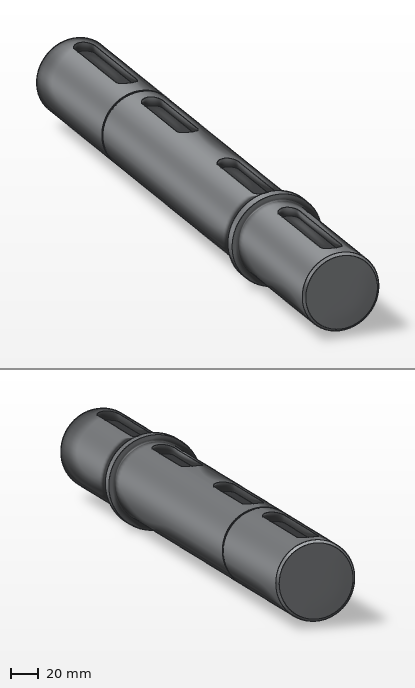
import cadquery as cq

length = 496.0
shaft_radius = 30.0
end_chamfer = 2.0

shoulder_distance = 123.5

collar_radius = 35.45
collar_width = 8.0
collar_fillet = 1.0

groove_width = 1.5
groove_depth = 1.0

key_width = 16.5
key_depth = 7.0
long_key_length = 92.5
short_key_length = 80.0
long_key_margin = 12.5
short_key_margin = 138.0

left_end = -length / 2
collar_start = length - shoulder_distance - collar_width / 2
groove_start = shoulder_distance - groove_width / 2
edge_tolerance = 0.05


def disc(start, width, radius):
    """Solid cylinder on the shaft axis, starting a given distance from the left end."""
    return cq.Workplane("YZ", origin=(left_end + start, 0, 0)).circle(radius).extrude(width)


def keyway(start, slot_length):
    """Round-ended cutter reaching from the keyway floor to above the shaft."""
    center = left_end + start + slot_length / 2
    floor = shaft_radius - key_depth
    return (
        cq.Workplane("XY", origin=(center, 0, floor))
        .slot2D(slot_length, key_width)
        .extrude(shaft_radius)
    )


shaft = disc(0, length, shaft_radius).faces("<X or >X").chamfer(end_chamfer)
shaft = shaft.union(disc(collar_start, collar_width, collar_radius))
root_reach = shaft_radius + edge_tolerance
for root in (collar_start, collar_start + collar_width):
    root_edge = cq.selectors.BoxSelector(
        (left_end + root - edge_tolerance, -root_reach, -root_reach),
        (left_end + root + edge_tolerance, root_reach, root_reach),
        boundingbox=True,
    )
    shaft = shaft.edges(root_edge).fillet(collar_fillet)

groove = disc(groove_start, groove_width, collar_radius).cut(
    disc(groove_start, groove_width, shaft_radius - groove_depth)
)
shaft = shaft.cut(groove)

for margin, key_length in ((long_key_margin, long_key_length), (short_key_margin, short_key_length)):
    left_keyway = keyway(margin, key_length)
    shaft = shaft.cut(left_keyway).cut(left_keyway.mirror("YZ"))

result = shaft